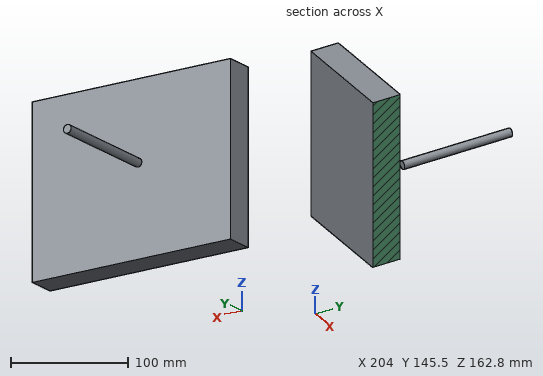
import cadquery as cq

plate_width = 204.0
plate_height = 162.8
plate_thickness = 27.3

overall_depth = 145.5
rod_diameter = 8.0
rod_length = 107.5
rod_x = -14.0
rod_z = 1.2
rod_start_y = overall_depth - rod_length


def make_plate():
    """Plain rectangular plate with its front face on Y = 0."""
    return cq.Workplane("XY").box(
        plate_width, plate_thickness, plate_height, centered=(True, False, True)
    )


def make_rod():
    """Round rod that ends at the rear limit of the assembly."""
    return (
        cq.Workplane("XZ", origin=(rod_x, rod_start_y, rod_z))
        .circle(rod_diameter / 2)
        .extrude(-rod_length)
    )


plate = make_plate()
rod = make_rod()

result = cq.Compound.makeCompound([plate.val(), rod.val()])